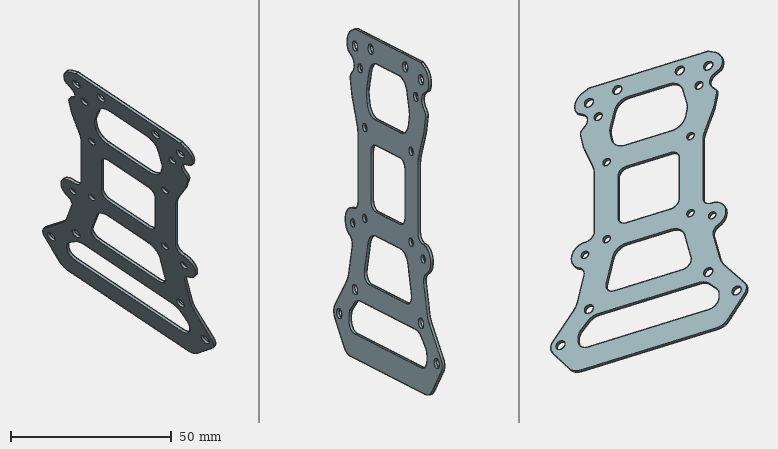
import cadquery as cq
import math

thickness = 1.0
height = 107.05
width = 69.0

small_hole = 2.6
medium_hole = 2.8
large_hole = 3.2
column_x = 21.0
head_hole = (column_x, 101.45)
top_hole = (11.0, 103.0)
neck_hole = (17.75, 95.05)
ear_hole = (22.4, 43.65)
hip_hole = (column_x, 22.4)
tip_hole = (31.0, 11.95)

square_center_z = 61.85
square_side = 21.6
square_pattern = 29.5

corner_radius = 5.0
ear_radius = 4.8
bend_radius = 8.0
fillet_radius = 3.0
chin_radius = 2.0
tip_radius = width / 2 - tip_hole[0]
waist_half_width = 19.1

lower_corner_x = 23.95
hip_bend = (32.8, 28.4)
lower_fillet_x = 25.7
waist_end_z = 73.55
chest_bend = (15.2, 87.1)
shoulder = (22.0, 90.4)
notch_x = 24.5
chin_direction = -20


def rounded_outline(arcs):
    """Closed outline of arcs joined by their common tangent lines, run counter-clockwise.

    Each arc is (x, z, radius): a positive radius turns left (convex), a negative one turns
    right (concave), and a zero radius is a sharp corner.
    """
    count = len(arcs)
    headings = []
    for (x0, z0, r0), (x1, z1, r1) in zip(arcs, arcs[1:] + arcs[:1]):
        reach = math.hypot(x1 - x0, z1 - z0)
        tilt = math.asin(max(-1.0, min(1.0, (r1 - r0) / reach)))
        headings.append(math.atan2(z1 - z0, x1 - x0) - tilt)

    def point(arc, heading):
        x, z, radius = arc
        return (x + radius * math.sin(heading), z - radius * math.cos(heading))

    shortest_line = 0.001
    start = point(arcs[0], headings[-1])
    position = start
    sketch = cq.Workplane("XZ").moveTo(*start)
    for i in range(count):
        arc = arcs[i]
        radius = arc[2]
        arriving = headings[i - 1]
        if radius != 0:
            side = math.copysign(1, radius)
            turn = side * ((headings[i] - arriving) * side % math.tau)
            position = point(arc, arriving + turn)
            sketch = sketch.threePointArc(point(arc, arriving + turn / 2), position)
        following = start if i == count - 1 else point(arcs[i + 1], headings[i])
        if math.dist(position, following) > shortest_line:
            sketch = sketch.lineTo(*following)
        position = following
    return sketch.close()


def plate_from(right_half):
    """Solid plate from the right half of an outline, listed from bottom to top."""
    left_half = [(-x, z, radius) for x, z, radius in reversed(right_half)]
    return rounded_outline(right_half + left_half).extrude(-thickness)


def body():
    ear_reach = ear_radius + fillet_radius
    ear_x, ear_z = ear_hole
    head_x, head_z = head_hole

    upper_fillet_x = waist_half_width + fillet_radius
    upper_fillet_z = ear_z + math.sqrt(ear_reach**2 - (upper_fillet_x - ear_x) ** 2)
    lower_fillet_z = ear_z - math.sqrt(ear_reach**2 - (lower_fillet_x - ear_x) ** 2)

    chin_angle = math.radians(chin_direction)
    chin_offset = corner_radius - chin_radius
    chin_x = head_x + chin_offset * math.cos(chin_angle)
    chin_z = head_z + chin_offset * math.sin(chin_angle)

    return plate_from([
        (lower_corner_x, corner_radius, corner_radius),
        (*tip_hole, tip_radius),
        (*hip_bend, -bend_radius),
        (lower_fillet_x, lower_fillet_z, -fillet_radius),
        (*ear_hole, ear_radius),
        (upper_fillet_x, upper_fillet_z, -fillet_radius),
        (waist_half_width + bend_radius, waist_end_z, -bend_radius),
        (*chest_bend, bend_radius),
        (*shoulder, chin_radius),
        (notch_x, neck_hole[1], -fillet_radius),
        (chin_x, chin_z, chin_radius),
        (*head_hole, corner_radius),
        (head_x, height, 0.0),
    ])


def top_window():
    bottom_z, top_z = 80.9, 99.15
    radius = 5.0
    lower_x, upper_x = 8.2, 7.15
    side_x, side_z = 8.65, 88.3
    return plate_from([
        (lower_x, bottom_z + radius, radius),
        (side_x, side_z, radius),
        (upper_x, top_z - radius, radius),
    ])


def square_window():
    radius = 3.0
    half = square_side / 2 - radius
    return plate_from([
        (half, square_center_z - half, radius),
        (half, square_center_z + half, radius),
    ])


def trapezoid_window():
    bottom_z, top_z = 26.4, 43.2
    lower_radius, upper_radius = 3.0, 5.0
    lower_x, upper_x = 12.0, 7.85
    return plate_from([
        (lower_x, bottom_z + lower_radius, lower_radius),
        (upper_x, top_z - upper_radius, upper_radius),
    ])


def bottom_window():
    bottom_z, top_z = 8.0, 19.5
    half_width = 24.8
    lower_radius, side_radius, upper_radius = 3.5, 4.0, 5.0
    side_z = 12.65
    upper_x = 17.7
    return plate_from([
        (half_width - lower_radius, bottom_z + lower_radius, lower_radius),
        (half_width - side_radius, side_z, side_radius),
        (upper_x, top_z - upper_radius, upper_radius),
    ])


def holes():
    pattern_half = square_pattern / 2
    right_holes = [
        (head_hole, large_hole),
        (top_hole, large_hole),
        (neck_hole, medium_hole),
        ((pattern_half, square_center_z + pattern_half), small_hole),
        ((pattern_half, square_center_z - pattern_half), small_hole),
        (ear_hole, small_hole),
        (hip_hole, large_hole),
        (tip_hole, large_hole),
    ]
    cutters = cq.Workplane("XZ")
    for (x, z), diameter in right_holes:
        cutters = cutters.pushPoints([(x, z), (-x, z)]).circle(diameter / 2)
    return cutters.extrude(-thickness)


result = body()
for opening in (top_window(), square_window(), trapezoid_window(), bottom_window(), holes()):
    result = result.cut(opening)